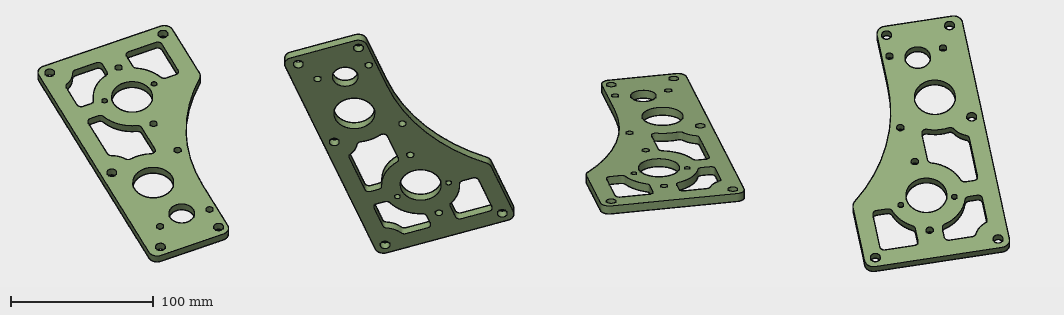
import cadquery as cq
import math

length = 196.8
width = 103.1
thickness = 6.3
corner_radius = 6.3

low_width = 60.8
sweep_radius = 126.0
sweep_end_x = 148.6

left_bore = (52.4, 50.8)
right_bore = (132.0, 30.3)
bore_diameter = 28.7
bore_ring_radius = 27.4
side_bore = (167.0, 36.2)
side_bore_diameter = 18.0

mount_inset = 7.5
mount_y = 7.9
mount_diameter = 6.9
middle_mount_x = 111.5
lower_right_mount_y = 9.5
upper_right_mount_y = 54.3
mount_pad_radius = 16.1

screw_diameter = 5.1
left_screw_xs = (23.2, 81.7)
left_screw_y = 53.7
middle_screw = (111.5, 58.7)
right_screw_x = 171.7
right_screw_ys = (17.3, 55.5)
pin_diameter = 4.0
pin_x = 47.6
pin_offset = 19.0

rim = 12.5
window_radius = 3.1
spoke_width = 12.5
left_window_right_x = 46.0
lower_window_top_y = 44.7
upper_window_bottom_y = 63.4


def make_plate():
    sweep_center_y = low_width + sweep_radius

    def sweep_point(y):
        drop = sweep_center_y - y
        return (sweep_end_x - math.sqrt(sweep_radius**2 - drop**2), y)

    plate = (
        cq.Workplane("XY")
        .lineTo(length, 0)
        .lineTo(length, low_width)
        .lineTo(sweep_end_x, low_width)
        .threePointArc(sweep_point((low_width + width) / 2), sweep_point(width))
        .lineTo(0, width)
        .close()
        .extrude(thickness)
    )
    smooth_end = cq.selectors.BoxSelector(
        (sweep_end_x - 2, low_width - 2, -2),
        (sweep_end_x + 2, low_width + 2, thickness + 2),
    )
    corners = cq.selectors.SubtractSelector(cq.StringSyntaxSelector("|Z"), smooth_end)
    return plate.edges(corners).fillet(corner_radius)


def cylinders(points, diameter):
    return cq.Workplane("XY").pushPoints(points).circle(diameter / 2).extrude(thickness)


def window(left, right, bottom, top, kept_discs):
    """Rounded rectangle, cut back by the discs of material to keep."""
    opening = cq.Workplane("XY").box(right - left, top - bottom, thickness, centered=False)
    opening = opening.translate((left, bottom, 0))
    for center, radius in kept_discs:
        opening = opening.cut(cylinders([center], 2 * radius))
    return opening.edges("|Z").fillet(window_radius)


lower_left_mount = (mount_inset, mount_y)
middle_mount = (middle_mount_x, mount_y)
mounts = [
    lower_left_mount,
    middle_mount,
    (mount_inset, width - mount_y),
    (length - mount_inset, lower_right_mount_y),
    (length - mount_inset, upper_right_mount_y),
]
screws = [(x, left_screw_y) for x in left_screw_xs]
screws += [(right_screw_x, y) for y in right_screw_ys]
screws.append(middle_screw)
pins = [(pin_x, left_bore[1] + side * pin_offset) for side in (-1, 1)]

left_ring = (left_bore, bore_ring_radius)
right_ring = (right_bore, bore_ring_radius)
windows = [
    window(rim, left_window_right_x, upper_window_bottom_y, width - rim, [left_ring]),
    window(rim, left_window_right_x, rim, lower_window_top_y,
           [left_ring, (lower_left_mount, mount_pad_radius)]),
    window(left_window_right_x + spoke_width, middle_mount_x, rim, lower_window_top_y,
           [left_ring, right_ring, (middle_mount, mount_pad_radius)]),
]

result = make_plate()
for opening in windows:
    result = result.cut(opening)
for points, diameter in [
    ([left_bore, right_bore], bore_diameter),
    ([side_bore], side_bore_diameter),
    (mounts, mount_diameter),
    (screws, screw_diameter),
    (pins, pin_diameter),
]:
    result = result.cut(cylinders(points, diameter))